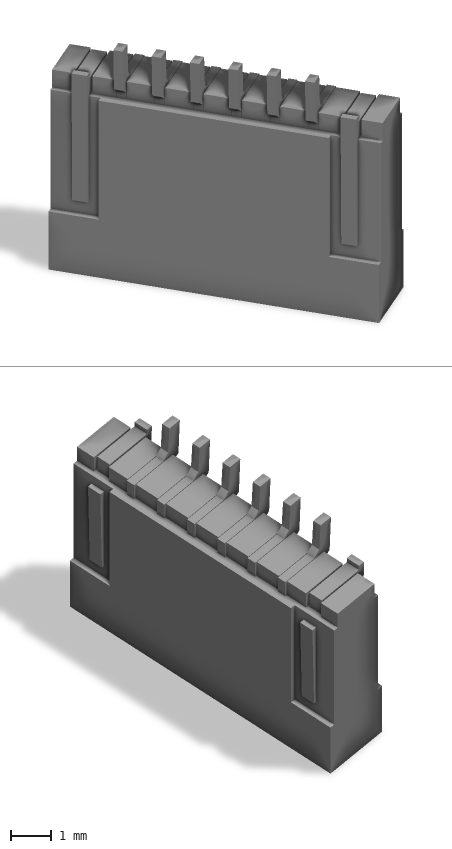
import cadquery as cq

LENGTH = 8.6
DEPTH = 1.92
SHOULDER_Z = 5.005
CROWN_Z = 5.5
CROWN_FRONT_Y = 0.28
CROWN_BACK_Y = 1.65

RECESS_BOTTOM_Z = 1.64
RECESS_WIDTH = 1.31
RECESS_FRONT_DEPTH = 0.155
RECESS_BACK_DEPTH = 0.14

PIN_COUNT = 6
PIN_PITCH = 1.0
PIN_WIDTH = 0.24
PIN_SLOT_WIDTH = 0.275
PIN_TOP_Z = 6.5
PIN_TOP_THICKNESS = 0.39
PIN_BACK_Y = 1.7
PIN_LEAN = 0.05
PIN_HEEL_BEVEL = 0.18
PIN_TOE_BEVEL_HEIGHT = 0.18
PIN_TOE_Z = 5.37

CLIP_X = 3.5
CLIP_WIDTH = 0.4
CLIP_SLOT_WIDTH = 0.5
CLIP_TOP_Z = 5.65
CLIP_BACK_ARM_TOP_Z = 4.7
CLIP_ARM_BOTTOM_Z = 2.04
CLIP_ARM_THICKNESS = 0.18
CLIP_ARM_LEAN = 0.06
CLIP_BRIDGE_BACK_Y = 1.57

PIN_XS = [PIN_PITCH * (i - (PIN_COUNT - 1) / 2) for i in range(PIN_COUNT)]
CLIP_XS = [-CLIP_X, CLIP_X]


def block(x_min, x_max, y_min, y_max, z_min, z_max):
    """Box given by its limits on each axis."""
    size = (x_max - x_min, y_max - y_min, z_max - z_min)
    return cq.Workplane("XY").box(*size, centered=False).translate((x_min, y_min, z_min))


def plate(profile, width, x_center):
    """Side profile of (y, z) points extruded evenly about x_center."""
    sheet = cq.Workplane("YZ").polyline(profile).close().extrude(width / 2, both=True)
    return sheet.translate((x_center, 0, 0))


def make_housing():
    half = LENGTH / 2
    body = block(-half, half, 0, DEPTH, 0, SHOULDER_Z)
    body = body.union(block(-half, half, CROWN_FRONT_Y, CROWN_BACK_Y, SHOULDER_Z, CROWN_Z))

    recess_inner_x = half - RECESS_WIDTH
    recess_spans_y = [(0, RECESS_FRONT_DEPTH), (DEPTH - RECESS_BACK_DEPTH, DEPTH)]
    for x_min, x_max in [(-half, -recess_inner_x), (recess_inner_x, half)]:
        for y_min, y_max in recess_spans_y:
            body = body.cut(block(x_min, x_max, y_min, y_max, RECESS_BOTTOM_Z, SHOULDER_Z))

    slots = [(x, PIN_SLOT_WIDTH) for x in PIN_XS] + [(x, CLIP_SLOT_WIDTH) for x in CLIP_XS]
    for x, width in slots:
        body = body.cut(block(x - width / 2, x + width / 2, 0, DEPTH, SHOULDER_Z, CROWN_Z))
    return body


def make_pin(x):
    """Upright leg at the front joined to a bar lying in the crown slot."""
    leg_back_y = PIN_TOP_THICKNESS + PIN_LEAN
    profile = [
        (0, PIN_TOP_Z),
        (PIN_TOP_THICKNESS, PIN_TOP_Z),
        (leg_back_y, CROWN_Z + PIN_HEEL_BEVEL),
        (leg_back_y + PIN_HEEL_BEVEL, CROWN_Z),
        (PIN_BACK_Y, CROWN_Z),
        (PIN_BACK_Y, SHOULDER_Z),
        (CROWN_FRONT_Y, SHOULDER_Z),
        (CROWN_FRONT_Y, PIN_TOE_Z - PIN_TOE_BEVEL_HEIGHT),
        (PIN_LEAN, PIN_TOE_Z),
    ]
    return plate(profile, PIN_WIDTH, x)


def make_clip(x):
    """Bridge in the crown slot with a tapered arm in the front and back recesses."""
    bridge_and_front_arm = [
        (0, CLIP_TOP_Z),
        (CLIP_ARM_THICKNESS, CLIP_TOP_Z),
        (CLIP_ARM_THICKNESS, CROWN_Z),
        (CLIP_BRIDGE_BACK_Y, CROWN_Z),
        (CLIP_BRIDGE_BACK_Y, SHOULDER_Z),
        (CLIP_ARM_THICKNESS, SHOULDER_Z),
        (CLIP_ARM_THICKNESS, CLIP_ARM_BOTTOM_Z),
        (CLIP_ARM_LEAN, CLIP_ARM_BOTTOM_Z),
    ]
    back_arm = [
        (DEPTH, CLIP_BACK_ARM_TOP_Z),
        (DEPTH - CLIP_ARM_THICKNESS, CLIP_BACK_ARM_TOP_Z),
        (DEPTH - CLIP_ARM_THICKNESS, CLIP_ARM_BOTTOM_Z),
        (DEPTH - CLIP_ARM_LEAN, CLIP_ARM_BOTTOM_Z),
    ]
    return plate(bridge_and_front_arm, CLIP_WIDTH, x).union(plate(back_arm, CLIP_WIDTH, x))


result = make_housing()
for pin_x in PIN_XS:
    result = result.union(make_pin(pin_x))
for clip_x in CLIP_XS:
    result = result.union(make_clip(clip_x))